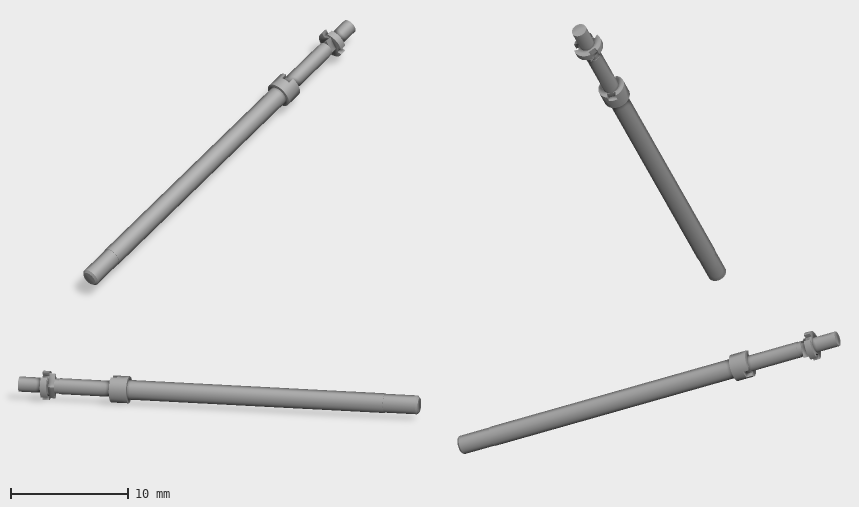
import cadquery as cq

TOTAL_LENGTH = 35.1
TIP_DIAMETER = 1.3
TIP_LENGTH = 2.07

FLANGE_DIAMETER = 2.5
FLANGE_LENGTH = 0.55
SLOT_COUNT = 3
SLOT_WIDTH = 0.65
SLOT_FLOOR_RADIUS = 0.8

KEY_LENGTH = 0.53
KEY_WIDTH = 1.25
KEY_HEIGHT = 2.18

NECK_LENGTH = 0.4
BARREL_DIAMETER = 1.37
BARREL_LENGTH = 4.55

COLLAR_DIAMETER = 2.3
COLLAR_LENGTH = 1.5
COLLAR_NOTCH_WIDTH = 0.77
COLLAR_NOTCH_LENGTH = 0.53

BODY_DIAMETER = 1.7
BODY_LENGTH = 22.45
TAIL_DIAMETER = 1.6
TAIL_CHAMFER = 0.18

TIP_END = TOTAL_LENGTH / 2
FLANGE_TOP = TIP_END - TIP_LENGTH
KEY_TOP = FLANGE_TOP - FLANGE_LENGTH
NECK_TOP = KEY_TOP - KEY_LENGTH
BARREL_TOP = NECK_TOP - NECK_LENGTH
COLLAR_TOP = BARREL_TOP - BARREL_LENGTH
BODY_TOP = COLLAR_TOP - COLLAR_LENGTH
TAIL_TOP = BODY_TOP - BODY_LENGTH
TAIL_END = -TOTAL_LENGTH / 2


def plane_at(y):
    """Sketch plane across the pin: local x is +X, local y is +Z, extrusion runs to -Y."""
    return cq.Workplane("XZ", origin=(0, y, 0))


def rod(diameter, y_top, y_bottom):
    """Round length of the pin between two Y positions."""
    return plane_at(y_top).circle(diameter / 2).extrude(y_top - y_bottom)


def slotted_drive_head():
    """Round flange and diamond key with straight rim slots through both, the first facing +X."""
    key_half_width = KEY_WIDTH / 2
    key_half_height = KEY_HEIGHT / 2
    key_corners = [
        (key_half_width, 0),
        (0, key_half_height),
        (-key_half_width, 0),
        (0, -key_half_height),
    ]
    key = plane_at(KEY_TOP).polyline(key_corners).close().extrude(KEY_LENGTH)
    head = rod(FLANGE_DIAMETER, FLANGE_TOP, KEY_TOP).union(key)

    slot = (
        plane_at(FLANGE_TOP)
        .center(SLOT_FLOOR_RADIUS + FLANGE_DIAMETER / 2, 0)
        .rect(FLANGE_DIAMETER, SLOT_WIDTH)
        .extrude(FLANGE_LENGTH + KEY_LENGTH)
    )
    for index in range(SLOT_COUNT):
        angle = index * 360 / SLOT_COUNT
        head = head.cut(slot.rotate((0, 0, 0), (0, 1, 0), angle))
    return head


def notched_collar():
    """Collar with +Z and -Z rim notches, open toward the tip and as deep as the barrel surface."""
    collar = rod(COLLAR_DIAMETER, COLLAR_TOP, BODY_TOP)
    notch_center = BARREL_DIAMETER / 2 + COLLAR_DIAMETER / 2
    notches = (
        plane_at(COLLAR_TOP)
        .pushPoints([(0, notch_center), (0, -notch_center)])
        .rect(COLLAR_NOTCH_WIDTH, COLLAR_DIAMETER)
        .extrude(COLLAR_NOTCH_LENGTH)
    )
    return collar.cut(notches)


tip = rod(TIP_DIAMETER, TIP_END, KEY_TOP)
neck = rod(TIP_DIAMETER, NECK_TOP, BARREL_TOP)
barrel = rod(BARREL_DIAMETER, BARREL_TOP, BODY_TOP)
body = rod(BODY_DIAMETER, BODY_TOP, TAIL_TOP)
tail = rod(TAIL_DIAMETER, TAIL_TOP, TAIL_END).faces("<Y").chamfer(TAIL_CHAMFER)

result = (
    tip
    .union(neck)
    .union(slotted_drive_head())
    .union(barrel)
    .union(notched_collar())
    .union(body)
    .union(tail)
)